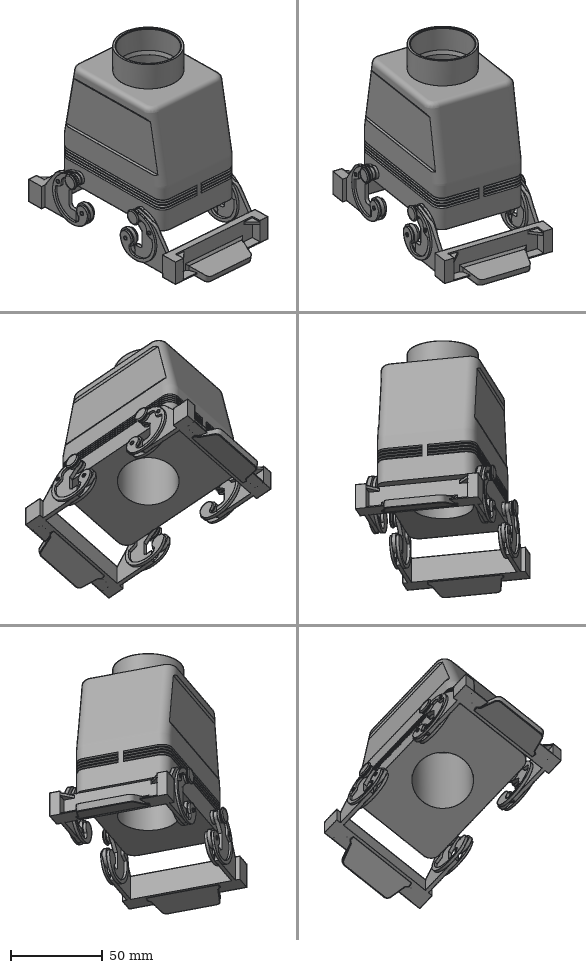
import cadquery as cq
import math

HOOD_HALF_X = 41.1
HOOD_HALF_Y = 28.1
HOOD_TOP_HALF_X = 32.3
HOOD_TAPER_Z = 28.0
HOOD_TOP_Z = 74.9
HOOD_CORNER_R = 6.1
HOOD_TOP_R = 3.2
HOOD_TAPER_BLEND_R = 8.0

RECESS_DEPTH = 0.9
RECESS_Z = (34.5, 68.1)
RECESS_TOP_SLOPE_HEIGHT = 1.3

GROOVE_COUNT = 4
GROOVE_BOTTOM_Z = 13.5
GROOVE_PITCH = 1.7
GROOVE_WIDTH = 1.3
GROOVE_ANGLE = 45
GROOVE_BREAK_WIDTH = 3.2

COLLAR_TOP_Z = 90.6
COLLAR_R = 19.5
COUNTERBORE_R = 17.8
COLLAR_RIM_CHAMFER = 0.4
STEP_CONE_Z = (74.4, 76.6)
BORE_R = 16.9

CHEEK_Y = (HOOD_HALF_Y, 33.4)
PLATE_Y = (29.8, 32.1)
LEVER_CENTER = (-25.5, -6.4)
LEVER_R = 15.7
LEVER_INNER_R = 13.6
LEVER_BOTTOM_Z = LEVER_CENTER[1] - LEVER_R
PIVOT = (-25.2, 6.0)
PIVOT_EYE_R = 3.9
PLATE_EYE_R = 3.2
PIVOT_NECK_R = 2.7
PIVOT_HEAD_R = 4.5
PIVOT_HEAD_Y = (34.0, 35.5)
PIVOT_HEAD_CHAMFER = 0.7
HOOK = (-17.5, -11.5)
HOOK_R = 4.4
ROLLER_R = 5.5
RIVETS = [(-36.7, 0.5), HOOK]
RIVET_R = 1.2
RIVET_PROUD = 0.4

BAR_X = (-59.1, -48.7)
BAR_HALF_Y = 34.7
BAR_TOP_Z = -7.7
POCKET_HALF_Y = 28.7
POCKET_BACK_X = -53.0
POCKET_FLOOR = 0.7
GUSSET_LEG_Y = 6.1
GUSSET_Z = (-10.4, -8.6)

TAB_TIP = (-66.5, -22.0)
TAB_SLOPE = math.radians(15)
TAB_THICKNESS = 4.4
TAB_TIP_HALF_Y = 16.4
TAB_ROOT_HALF_Y = 20.0
TAB_FLARE_HALF_Y = 21.5
TAB_CORNER_R = 3.2
TAB_ROOT_BEVEL = 1.2
TAB_LOWER_CHAMFER = 0.4


def polar(center, radius, degrees):
    """Point at an angle on a circle."""
    a = math.radians(degrees)
    return (center[0] + radius * math.cos(a), center[1] + radius * math.sin(a))


def across_y(y_range):
    """XZ sketch plane at the smaller y of a range."""
    return cq.Workplane("XZ", origin=(0, y_range[0], 0))


def thick(sketch, y_range):
    """Extrude an XZ sketch toward +Y through the whole range."""
    return sketch.extrude(y_range[0] - y_range[1])


def disc(center, radius, y_range):
    """Cylinder along Y filling the range."""
    return thick(across_y(y_range).center(*center).circle(radius), y_range)


def four_fold(solid):
    """The solid with its mirror images about the XZ and YZ planes."""
    pair = solid.union(solid.mirror("XZ"))
    return pair.union(pair.mirror("YZ"))


def make_hood():
    """Rounded block, tapered in X above its skirt."""
    profile = [
        (-HOOD_HALF_X, 0),
        (-HOOD_HALF_X, HOOD_TAPER_Z),
        (-HOOD_TOP_HALF_X, HOOD_TOP_Z),
        (HOOD_TOP_HALF_X, HOOD_TOP_Z),
        (HOOD_HALF_X, HOOD_TAPER_Z),
        (HOOD_HALF_X, 0),
    ]
    hood = cq.Workplane("XZ").polyline(profile).close().extrude(HOOD_HALF_Y, both=True)
    taper_edges = hood.faces("<X or >X").edges(">Z")
    hood = hood.newObject(taper_edges.vals()).fillet(HOOD_TAPER_BLEND_R)
    corner_edges = hood.faces("<Y or >Y").edges("<X or >X")
    hood = corner_edges.fillet(HOOD_CORNER_R)
    return hood.faces(">Z").edges().fillet(HOOD_TOP_R)


def make_side_recess():
    """Shallow full-width cut in the -Y face, with sloped upper and lower edges."""
    z_low, z_high = RECESS_Z
    floor_y = -HOOD_HALF_Y + RECESS_DEPTH
    section = [
        (-HOOD_HALF_Y, z_low),
        (floor_y, z_low + RECESS_DEPTH),
        (floor_y, z_high - RECESS_TOP_SLOPE_HEIGHT),
        (-HOOD_HALF_Y, z_high),
    ]
    return cq.Workplane("YZ").polyline(section).close().extrude(HOOD_HALF_X, both=True)


def make_grooves():
    """V-shaped ring grooves round the hood, interrupted at the middle of both X faces."""
    length, width = 2 * HOOD_HALF_X, 2 * HOOD_HALF_Y
    plan = cq.Sketch().rect(length, width).vertices().fillet(HOOD_CORNER_R)
    half_core = cq.Workplane("XY").placeSketch(plan).extrude(GROOVE_WIDTH / 2, taper=GROOVE_ANGLE)
    bridge = cq.Workplane("XY").rect(length, GROOVE_BREAK_WIDTH).extrude(GROOVE_WIDTH)
    ring = cq.Workplane("XY").rect(length, width).extrude(GROOVE_WIDTH)
    ring = ring.cut(half_core).cut(half_core.mirror("XY", (0, 0, GROOVE_WIDTH / 2))).cut(bridge)
    grooves = cq.Workplane("XY")
    for i in range(GROOVE_COUNT):
        grooves = grooves.add(ring.translate((0, 0, GROOVE_BOTTOM_Z + i * GROOVE_PITCH)))
    return grooves.combine()


def make_entry_bore():
    """Bore through collar and hood, narrowing at a conical step."""
    half_section = [
        (0, 0),
        (BORE_R, 0),
        (BORE_R, STEP_CONE_Z[0]),
        (COUNTERBORE_R, STEP_CONE_Z[1]),
        (COUNTERBORE_R, COLLAR_TOP_Z - COLLAR_RIM_CHAMFER),
        (COUNTERBORE_R + COLLAR_RIM_CHAMFER, COLLAR_TOP_Z),
        (0, COLLAR_TOP_Z),
    ]
    return cq.Workplane("XZ").polyline(half_section).close().revolve(360, (0, 0), (0, 1))


def make_cheeks():
    """C-shaped cheek pair running from the pivot eye to the hook eye."""
    hook_back = (-15.2, -17.3)
    throat_side = (-20.9, -18.1)
    pad_low = (-35.1, -1.7)
    pad_low_bend = (-34.5, -1.0)
    pad_side_low = (-34.3, 0)
    pad_side_high = (-34.2, 2.0)
    pad_high_bend = (-33.1, 4.1)
    pad_high = (-29.7, 4.9)
    outline = (
        across_y(CHEEK_Y)
        .moveTo(*polar(LEVER_CENTER, LEVER_R, 95))
        .threePointArc(polar(LEVER_CENTER, LEVER_R, 195), polar(LEVER_CENTER, LEVER_R, 298))
        .threePointArc(hook_back, polar(HOOK, HOOK_R, -20))
        .lineTo(*HOOK)
        .lineTo(*polar(HOOK, HOOK_R, 230))
        .threePointArc(throat_side, polar(LEVER_CENTER, LEVER_INNER_R, 277))
        .threePointArc(polar(LEVER_CENTER, LEVER_INNER_R, 220), polar(LEVER_CENTER, LEVER_INNER_R, 167))
        .lineTo(*pad_low)
        .threePointArc(pad_low_bend, pad_side_low)
        .lineTo(*pad_side_high)
        .threePointArc(pad_high_bend, pad_high)
        .lineTo(*PIVOT)
        .close()
    )
    cheeks = thick(outline, CHEEK_Y)
    cheeks = cheeks.union(disc(PIVOT, PIVOT_EYE_R, CHEEK_Y)).union(disc(HOOK, HOOK_R, CHEEK_Y))
    gap = disc(LEVER_CENTER, 2 * LEVER_R, PLATE_Y)
    return cheeks.cut(gap)


def make_plate():
    """Middle plate of the lever, reaching from the handle bar to the pivot eye."""
    mouth_x = -29.3
    mouth_floor_z = -13.6
    mouth_r = 2.1
    mouth_top_z = -2.4
    shoulder_inner = (-35.9, 6.1)
    shoulder_bend = (-38.7, 5.2)
    shoulder_outer = (-41.1, 2.8)
    lip_x = -23.8
    lip_z = LEVER_CENTER[1] - math.sqrt(LEVER_R**2 - (lip_x - LEVER_CENTER[0]) ** 2)
    outline = (
        across_y(PLATE_Y)
        .moveTo(BAR_X[1], LEVER_BOTTOM_Z)
        .lineTo(LEVER_CENTER[0], LEVER_BOTTOM_Z)
        .lineTo(lip_x, lip_z)
        .lineTo(lip_x, mouth_floor_z)
        .lineTo(mouth_x + mouth_r, mouth_floor_z)
        .tangentArcPoint((mouth_x, mouth_floor_z + mouth_r), relative=False)
        .lineTo(mouth_x, mouth_top_z)
        .lineTo(*polar(PIVOT, PLATE_EYE_R, -65))
        .lineTo(*polar(PIVOT, PLATE_EYE_R, 100))
        .lineTo(*shoulder_inner)
        .threePointArc(shoulder_bend, shoulder_outer)
        .lineTo(BAR_X[1], BAR_TOP_Z)
        .close()
    )
    return thick(outline, PLATE_Y).union(disc(PIVOT, PLATE_EYE_R, PLATE_Y))


def make_pins():
    """Headed pivot pin, hook roller and rivets."""
    neck = disc(PIVOT, PIVOT_NECK_R, (CHEEK_Y[0], PIVOT_HEAD_Y[0]))
    head = disc(PIVOT, PIVOT_HEAD_R, PIVOT_HEAD_Y).faces("|Y").edges().chamfer(PIVOT_HEAD_CHAMFER)
    pins = neck.union(head).union(disc(HOOK, ROLLER_R, PLATE_Y))
    for rivet in RIVETS:
        pins = pins.union(disc(rivet, RIVET_R, (CHEEK_Y[0], CHEEK_Y[1] + RIVET_PROUD)))
    return pins


def make_bar():
    """Handle bar with a pocket open outward and upward, and gussets in its back corners."""
    height = BAR_TOP_Z - LEVER_BOTTOM_Z
    bar = cq.Workplane("XY").box(
        BAR_X[1] - BAR_X[0], 2 * BAR_HALF_Y, height, centered=(False, True, False)
    )
    bar = bar.translate((BAR_X[0], 0, LEVER_BOTTOM_Z))
    pocket = cq.Workplane("XY").box(
        POCKET_BACK_X - BAR_X[0], 2 * POCKET_HALF_Y, height, centered=(False, True, False)
    )
    bar = bar.cut(pocket.translate((BAR_X[0], 0, LEVER_BOTTOM_Z + POCKET_FLOOR)))
    corner = [
        (BAR_X[0], POCKET_HALF_Y),
        (POCKET_BACK_X, POCKET_HALF_Y),
        (POCKET_BACK_X, POCKET_HALF_Y - GUSSET_LEG_Y),
    ]
    gusset = cq.Workplane("XY", origin=(0, 0, GUSSET_Z[0])).polyline(corner).close()
    gusset = gusset.extrude(GUSSET_Z[1] - GUSSET_Z[0])
    return bar.union(gusset).union(gusset.mirror("XZ"))


def make_tab():
    """Sloped trapezoidal finger tab, bevelled where it meets the back of the pocket."""
    tip_x, tip_z = TAB_TIP
    slope = math.tan(TAB_SLOPE)
    low_tip = (
        tip_x + TAB_THICKNESS * math.sin(TAB_SLOPE),
        tip_z - TAB_THICKNESS * math.cos(TAB_SLOPE),
    )
    lower_normal = cq.Vector(math.sin(TAB_SLOPE), 0, -math.cos(TAB_SLOPE))
    root_z = tip_z + (POCKET_BACK_X - tip_x) * slope
    low_end_x = low_tip[0] + (LEVER_BOTTOM_Z - low_tip[1]) / slope
    section = [
        TAB_TIP,
        (POCKET_BACK_X - TAB_ROOT_BEVEL, root_z - TAB_ROOT_BEVEL * slope),
        (POCKET_BACK_X, root_z + TAB_ROOT_BEVEL),
        (low_end_x, root_z + TAB_ROOT_BEVEL),
        (low_end_x, LEVER_BOTTOM_Z),
        low_tip,
    ]
    side = cq.Workplane("XZ").polyline(section).close().extrude(BAR_HALF_Y, both=True)
    plan = [
        (tip_x, TAB_TIP_HALF_Y),
        (POCKET_BACK_X - TAB_ROOT_BEVEL, TAB_ROOT_HALF_Y),
        (POCKET_BACK_X, TAB_FLARE_HALF_Y),
        (low_end_x, TAB_FLARE_HALF_Y),
    ]
    plan += [(x, -y) for x, y in reversed(plan)]
    column = cq.Workplane("XY").polyline(plan).close().extrude(2 * LEVER_BOTTOM_Z)
    tab = side.intersect(column)
    tab = tab.faces("<X").edges("not |Y").fillet(TAB_CORNER_R)
    lower_rim = tab.faces(cq.selectors.ParallelDirSelector(lower_normal))
    return tab.newObject([lower_rim.faces("<Z").val()]).edges().chamfer(TAB_LOWER_CHAMFER)


recess = make_side_recess()
hood = make_hood().cut(recess).cut(recess.mirror("XZ")).cut(make_grooves())
hood = hood.union(cq.Workplane("XY").circle(COLLAR_R).extrude(COLLAR_TOP_Z))
hood = hood.cut(make_entry_bore())

levers = four_fold(make_cheeks().union(make_plate()).union(make_pins()))
handle = make_bar().union(make_tab())

result = hood.union(levers).union(handle).union(handle.mirror("YZ"))